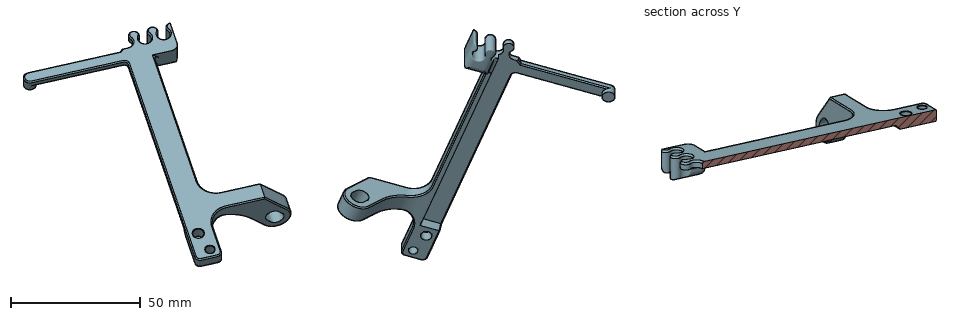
import cadquery as cq
import math


total_length = 112.8
beam_width = 10.6
beam_depth = 5.0
end_corner_radius = 2.0
edge_chamfer = 0.5

thin_depth = 3.0
thin_end_x = 94.3

finger_pitch = 7.5
lobe_radius = 2.1
fork_chamfer_depth = 0.85
fork_chamfer_width = 0.5
finger_end_round = 0.4
slot_radius = 2.45
fork_back_y = 20.8
fork_right_x = 13.4
fork_corner_radius = 3.0
lobe_y = [fork_back_y - i * finger_pitch for i in range(3)]
slot_x = lobe_radius + math.sqrt((lobe_radius + slot_radius) ** 2 - (finger_pitch / 2) ** 2)
slot_right_x = slot_x + slot_radius

block_depth = 10.0
block_front_y = 10.2
block_round = 3.0
block_blend = 2.0
rib_front_y = block_front_y - block_blend

arm_width = 5.0
arm_left_x = fork_right_x - arm_width
arm_tip_y = -40.85
arm_tip_radius = arm_width / 2
arm_center_x = fork_right_x - arm_tip_radius
arm_tip_center_y = arm_tip_y + arm_tip_radius
arm_fillet = 1.6
arm_shoulder = 1.6

total_width = 85.04
total_height = 20.4
lug_width = 7.5
lug_left_x = 83.6
lug_right_x = lug_left_x + lug_width
lug_root_radius = 7.5
lug_slope = math.radians(49)
lug_blend_radius = 20.0
eye_radius = 6.0
eye_y = arm_tip_y + total_width - eye_radius
eye_z = eye_radius - total_height
eye_hole_radius = 3.0
eye_hole_travel = 2.1

end_holes = [(100.4, 4.25, 4.3), (109.05, 6.5, 3.6)]
hole_chamfer = 0.2

tolerance = 0.01


def plan_solid():
    """Whole plan outline, extruded down to the lowest level."""
    ux = (slot_x - lobe_radius) / (lobe_radius + slot_radius)
    uy = finger_pitch / 2 / (lobe_radius + slot_radius)
    tangent_x = lobe_radius * (1 + ux)
    lobe_mid = math.sqrt(0.5) * lobe_radius

    outline = cq.Workplane("XY").moveTo(0, fork_back_y)
    for i, y in enumerate(lobe_y):
        if i == 0:
            lobe_through = (lobe_radius - lobe_mid, y - lobe_mid)
        else:
            lobe_through = (0, y)
        outline = outline.threePointArc(lobe_through, (tangent_x, y - lobe_radius * uy))
        slot_y = y - finger_pitch / 2
        if y != lobe_y[-1]:
            next_tangent_y = y - finger_pitch + lobe_radius * uy
            outline = outline.threePointArc((slot_right_x, slot_y), (tangent_x, next_tangent_y))
    slot_mid = math.sqrt(0.5) * slot_radius
    outline = (
        outline.threePointArc((slot_x + slot_mid, slot_y + slot_mid), (slot_right_x, slot_y))
        .lineTo(slot_right_x, 0)
        .lineTo(arm_left_x, -arm_shoulder)
        .lineTo(arm_left_x, arm_tip_center_y)
        .lineTo(fork_right_x, arm_tip_center_y)
        .lineTo(fork_right_x, -arm_fillet)
        .radiusArc((fork_right_x + arm_fillet, 0), arm_fillet)
        .lineTo(total_length - end_corner_radius, 0)
        .radiusArc((total_length, end_corner_radius), -end_corner_radius)
        .lineTo(total_length, beam_width - end_corner_radius)
        .radiusArc((total_length - end_corner_radius, beam_width), -end_corner_radius)
        .lineTo(lug_right_x + lug_root_radius, beam_width)
        .radiusArc((lug_right_x, beam_width + lug_root_radius), lug_root_radius)
        .lineTo(lug_right_x, eye_y + eye_radius)
        .lineTo(lug_left_x, eye_y + eye_radius)
        .lineTo(lug_left_x, beam_width + lug_root_radius)
        .radiusArc((lug_left_x - lug_root_radius, beam_width), lug_root_radius)
        .lineTo(fork_right_x, beam_width)
        .lineTo(fork_right_x, fork_back_y - fork_corner_radius)
        .radiusArc((fork_right_x - fork_corner_radius, fork_back_y), -fork_corner_radius)
        .close()
    )
    return outline.extrude(-total_height)


def beam_space():
    """Depth of the beam, fork and arm, before thinning."""
    return cq.Workplane("XY").box(
        total_length, fork_back_y - arm_tip_y, beam_depth, centered=False
    ).translate((0, arm_tip_y, -beam_depth))


def lug_space():
    """Side profile of the bent lug, swept across the lug and its root fillets."""
    cos_s = math.cos(lug_slope)
    sin_s = math.sin(lug_slope)
    upper = (eye_y + eye_radius * sin_s, eye_z + eye_radius * cos_s)
    lower = (eye_y - eye_radius * sin_s, eye_z - eye_radius * cos_s)
    top_y = upper[0] + upper[1] * cos_s / sin_s
    bend_y = lower[0] + (lower[1] + beam_depth) * cos_s / sin_s
    blend_length = lug_blend_radius * math.tan(lug_slope / 2)
    blend_start = (bend_y + blend_length * cos_s, -beam_depth - blend_length * sin_s)
    blend_end = (bend_y - blend_length, -beam_depth)
    profile = (
        cq.Workplane("YZ", origin=(lug_left_x - lug_root_radius, 0, 0))
        .moveTo(0, 0)
        .lineTo(top_y, 0)
        .lineTo(*upper)
        .threePointArc((eye_y + eye_radius * cos_s, eye_z - eye_radius * sin_s), lower)
        .lineTo(*blend_start)
        .radiusArc(blend_end, -lug_blend_radius)
        .lineTo(0, -beam_depth)
        .close()
    )
    return profile.extrude(lug_width + 2 * lug_root_radius)


def block_space():
    """Deep block: rounded below, blended into the underside of the beam."""
    round_z = block_round - block_depth
    across = (
        cq.Workplane("YZ")
        .moveTo(rib_front_y, -thin_depth)
        .lineTo(fork_back_y, -thin_depth)
        .lineTo(fork_back_y, round_z)
        .radiusArc((fork_back_y - block_round, -block_depth), block_round)
        .lineTo(block_front_y + block_round, -block_depth)
        .radiusArc((block_front_y, round_z), block_round)
        .radiusArc((rib_front_y, round_z + block_blend), -block_blend)
        .close()
        .extrude(fork_right_x + block_blend)
    )
    along = (
        cq.Workplane("XZ")
        .moveTo(0, 0)
        .lineTo(fork_right_x + block_blend, 0)
        .lineTo(fork_right_x + block_blend, round_z + block_blend)
        .radiusArc((fork_right_x, round_z), -block_blend)
        .radiusArc((fork_right_x - block_round, -block_depth), block_round)
        .lineTo(0, -block_depth)
        .close()
        .extrude(-fork_back_y)
    )
    return across.intersect(along)


def front_recess():
    """Material removed below the thin strip, ending in a 45 degree ramp."""
    recess_height = beam_depth - thin_depth
    return (
        cq.Workplane("XZ", origin=(0, rib_front_y, 0))
        .moveTo(0, -thin_depth)
        .lineTo(thin_end_x, -thin_depth)
        .lineTo(thin_end_x + recess_height, -beam_depth)
        .lineTo(0, -beam_depth)
        .close()
        .extrude(rib_front_y - arm_tip_y)
    )


def corner_web():
    """Fillet between the fork's right side and the beam's back, cut off by the beam's chamfer plane."""
    web = (
        cq.Workplane("XY")
        .moveTo(fork_right_x, beam_width)
        .lineTo(fork_right_x + block_blend, beam_width)
        .radiusArc((fork_right_x, beam_width + block_blend), block_blend)
        .close()
        .extrude(-total_height)
    )
    below_chamfer = (
        cq.Workplane("YZ", origin=(fork_right_x, 0, 0))
        .moveTo(beam_width, -edge_chamfer)
        .lineTo(beam_width + block_blend, -edge_chamfer - block_blend)
        .lineTo(beam_width + block_blend, -total_height)
        .lineTo(beam_width, -total_height)
        .close()
        .extrude(block_blend)
    )
    return web.intersect(below_chamfer)


def edges_in_box(solid, low, high, kind=None):
    """Edges of the given kind whose centres lie between two corner points."""
    low_corner = [v - tolerance for v in low]
    high_corner = [v + tolerance for v in high]
    return solid.edges(kind).edges(cq.selectors.BoxSelector(low_corner, high_corner))


def soften_edges(body):
    """Chamfer the beam, arm and lug edges; the fork's back and right edges stay sharp."""
    past_fork = slot_right_x + 2 * tolerance
    root_left_x = lug_left_x - lug_root_radius
    root_right_x = lug_right_x + lug_root_radius
    top = edges_in_box(body, (past_fork, arm_tip_center_y + 2 * tolerance, 0), (total_length, beam_width, 0))
    lug = edges_in_box(
        body,
        (root_left_x, beam_width + 2 * tolerance, -total_height),
        (root_right_x, eye_y + eye_radius, 0),
        "not (|X or |Z)",
    )
    strip_underside = edges_in_box(
        body, (past_fork, arm_tip_center_y + 2 * tolerance, -thin_depth), (thin_end_x, 0, -thin_depth)
    )
    ramp = edges_in_box(body, (thin_end_x, 0, -beam_depth), (total_length, 0, -thin_depth), "not (|X or |Z)")
    return top.add(lug).add(strip_underside).add(ramp).chamfer(edge_chamfer)


def soften_fork_edges(body):
    """Chamfer the top edges around the fingers and slots, then round the half lobe's back corner."""
    top = edges_in_box(body, (0, 0, 0), (slot_right_x, fork_back_y - 2 * tolerance, 0))
    body = top.chamfer(fork_chamfer_width, fork_chamfer_depth)
    back_corner = edges_in_box(body, (0, fork_back_y, -beam_depth), (0, fork_back_y, 0), "|Z")
    return back_corner.fillet(finger_end_round)


def deep_block():
    """Block below the two back fingers, with rounded edges along the fingers and slots."""
    block = plan_solid().union(corner_web()).intersect(block_space())
    bottom = edges_in_box(
        block,
        (0, block_front_y, -block_depth),
        (slot_right_x, fork_back_y, -beam_depth),
        "not (|X or |Z)",
    )
    return bottom.fillet(finger_end_round)


def arm_foot():
    """Round tip of the arm, as deep as the beam."""
    return (
        cq.Workplane("XY", origin=(arm_center_x, arm_tip_center_y, 0))
        .circle(arm_tip_radius)
        .extrude(-beam_depth)
        .faces(">Z")
        .chamfer(edge_chamfer)
    )


def end_hole(x, y, diameter):
    """Through hole with a small chamfer at the top."""
    radius = diameter / 2
    return (
        cq.Workplane("XZ", origin=(x, y, 0))
        .moveTo(0, 0)
        .lineTo(radius + hole_chamfer, 0)
        .lineTo(radius, -hole_chamfer)
        .lineTo(radius, -beam_depth)
        .lineTo(0, -beam_depth)
        .close()
        .revolve(360, (0, 0, 0), (0, 1, 0))
    )


def lug_eye():
    """Slotted hole through the lug, running along its slope from the centre of the rounded end."""
    along_slope = math.degrees(lug_slope)
    return (
        cq.Workplane("YZ", origin=(lug_left_x, eye_y, eye_z))
        .transformed(rotate=(0, 0, -along_slope))
        .center(-eye_hole_travel / 2, 0)
        .slot2D(eye_hole_travel + 2 * eye_hole_radius, 2 * eye_hole_radius)
        .extrude(lug_width)
    )


body = plan_solid().intersect(beam_space().union(lug_space())).cut(front_recess())
body = soften_edges(body)
body = soften_fork_edges(body)
body = body.union(deep_block()).union(corner_web().intersect(beam_space())).union(arm_foot())
for hole in end_holes:
    body = body.cut(end_hole(*hole))
result = body.cut(lug_eye())